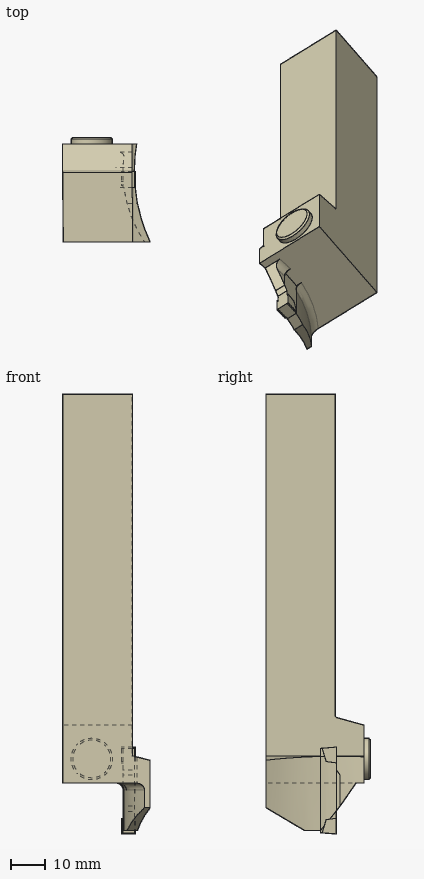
import cadquery as cq
import math

total_height = 126.4
shank_bottom = 14.7
shank_depth = 20.0
shank_width = 20.0
side_lean = 0.3

back_y = 28.2
boss_top = 31.3
boss_root_top = 33.6

wing_right = 25.3
wing_top = 21.2
wing_root_top = 22.5
front_blade_bottom = 7.6
blade_bottom = 1.0
blade_bevel_end = 11.1
blade_jaw_y = 25.9
outer_apex = 20.7
inner_apex = 17.4
inner_front = 23.6
root_fillet = 2.0
shoulder_fillet = 0.6

insert_top = 25.0
insert_seat_y = 15.7
rake_y = 20.2
insert_back_y = 21.4
rake_length = 6.6
rake_slope_end = 8.1
heel_rise = 0.4
tip_overhang = 0.4
tip_length = 4.5
tip_front_y = 16.2
tip_corner_y = 17.3

screw_diameter = 11.9
screw_x = 8.5
screw_z = 21.6
screw_top = 30.1
screw_chamfer = 0.5


def extrude_along_x(points, x_start, x_end):
    """Solid prism from (Y, Z) points between two X planes."""
    return cq.Workplane("YZ").workplane(offset=x_start).polyline(points).close().extrude(x_end - x_start)


def radius_from_sag(sag):
    """Radius of an arc with this sag between the rake plane and the front face."""
    return (rake_y**2 + sag**2) / (2 * sag)


def curve_cylinder(apex, radius):
    """Vertical cylinder whose -X extreme lies on the rake plane at X = apex."""
    return cq.Workplane("XY").center(apex + radius, rake_y).circle(radius).extrude(total_height)


outer_radius = radius_from_sag(wing_right - outer_apex)
inner_radius = radius_from_sag(inner_front - inner_apex)


def make_shank():
    """Square bar with the clamp boss at its lower back."""
    plan = [
        (side_lean, 0),
        (side_lean + shank_width, 0),
        (shank_width, back_y),
        (0, back_y),
    ]
    body = cq.Workplane("XY").workplane(offset=shank_bottom).polyline(plan).close()
    body = body.extrude(total_height - shank_bottom)
    side_profile = [
        (0, shank_bottom),
        (back_y, shank_bottom),
        (back_y, boss_top),
        (shank_depth, boss_root_top),
        (shank_depth, total_height),
        (0, total_height),
    ]
    body = body.intersect(extrude_along_x(side_profile, 0, wing_right))
    boss_corner = cq.selectors.NearestToPointSelector((shank_width / 2, shank_depth, boss_root_top))
    return body.edges(boss_corner).fillet(shoulder_fillet)


def make_wing():
    """Sloping shoulder beside the shank, with a concave outer face."""
    shank_right = side_lean + shank_width
    profile = [
        (inner_apex, shank_bottom),
        (wing_right, shank_bottom),
        (wing_right, wing_top),
        (shank_right, wing_root_top),
        (inner_apex, wing_root_top),
    ]
    wing = cq.Workplane("XZ").polyline(profile).close().extrude(-back_y)
    return wing.cut(curve_cylinder(outer_apex, outer_radius))


def make_root_flare():
    """Concave fillet between the blade's convex face and the shank bottom."""
    arc_inset = root_fillet * (1 - math.sin(math.pi / 4))
    axis_x = inner_apex + inner_radius
    profile = (
        cq.Workplane("XZ", origin=(0, rake_y, 0))
        .moveTo(inner_apex - root_fillet, shank_bottom)
        .threePointArc(
            (inner_apex - arc_inset, shank_bottom - arc_inset),
            (inner_apex, shank_bottom - root_fillet),
        )
        .lineTo(axis_x, shank_bottom - root_fillet)
        .lineTo(axis_x, shank_bottom)
        .close()
    )
    return profile.revolve(360, (axis_x, 0, 0), (axis_x, 1, 0))


def make_blade():
    """Curved blade below the shank, flared at its root."""
    side_profile = [
        (0, shank_bottom),
        (0, front_blade_bottom),
        (blade_bevel_end, blade_bottom),
        (insert_seat_y, blade_bottom),
        (insert_back_y, rake_slope_end),
        (blade_jaw_y, shank_bottom),
    ]
    curved_stock = curve_cylinder(inner_apex, inner_radius).union(make_root_flare())
    blade = extrude_along_x(side_profile, inner_apex - root_fillet, wing_right).intersect(curved_stock)
    return blade.cut(curve_cylinder(outer_apex, outer_radius))


def make_screw_head():
    """Chamfered round head on the back of the boss."""
    face = cq.Workplane("XZ", origin=(screw_x, back_y, screw_z))
    head = face.circle(screw_diameter / 2).extrude(-(screw_top - back_y))
    return head.faces(">Y").chamfer(screw_chamfer)


def make_insert():
    """Straight insert with a wider cutting tip at both ends."""
    middle = insert_top / 2
    half_profile = [
        (insert_seat_y, middle),
        (insert_seat_y, heel_rise),
        (rake_y, 0),
        (rake_y, rake_length),
        (insert_back_y, rake_slope_end),
        (insert_back_y, middle),
    ]
    tip_profile = [
        (tip_front_y, heel_rise),
        (rake_y, 0),
        (rake_y, tip_length),
        (tip_corner_y, tip_length - heel_rise),
    ]
    half = extrude_along_x(half_profile, inner_apex, outer_apex)
    tip = extrude_along_x(tip_profile, inner_apex - tip_overhang, outer_apex + tip_overhang)
    half = half.union(tip)
    return half.union(half.mirror("XY", (0, 0, middle)))


def make_insert_relief():
    """Gap that keeps the root flare clear of the insert's -X face."""
    corners = [
        (insert_seat_y, 0),
        (insert_back_y, 0),
        (insert_back_y, shank_bottom),
        (insert_seat_y, shank_bottom),
    ]
    return extrude_along_x(corners, inner_apex - root_fillet, inner_apex)


def make_holder(insert):
    """Shank, wing, blade and screw head as one solid, with a slot that fits the insert."""
    holder = make_shank().union(make_wing())
    wing_corner = cq.selectors.NearestToPointSelector(
        (shank_width + side_lean, shank_depth / 2, wing_root_top)
    )
    holder = holder.edges(wing_corner).fillet(shoulder_fillet)
    holder = holder.union(make_blade()).union(make_screw_head())
    return holder.cut(make_insert_relief()).cut(insert)


insert = make_insert()
holder = make_holder(insert)

result = cq.Compound.makeCompound([holder.solids().val(), insert.solids().val()])